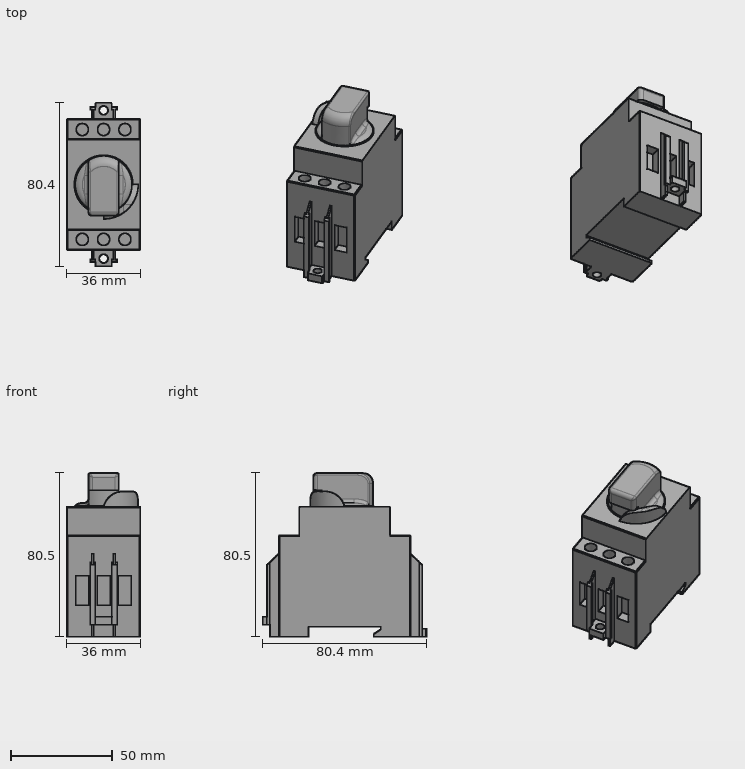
import cadquery as cq
import math

TOTAL_HEIGHT = 80.5
TOTAL_LENGTH = 80.4

WIDTH = 36.0
LENGTH = 64.7
SHOULDER_HEIGHT = 50.0
DECK_LENGTH = 44.75
DECK_HEIGHT = 64.0
EDGE_CHAMFER = 0.5

SLOT_HEIGHT = 5.0
SLOT_HALF_WIDTH = 17.6
HOOK_REACH = 3.4
HOOK_LIP_HEIGHT = 1.45
HOOK_TOP = 3.7

POLE_PITCH = 10.5
SCREW_HOLE_DIAMETER = 5.95
SCREW_HOLE_Y = 27.0
SCREW_HOLE_DEPTH = 8.05
WIRE_POCKET_WIDTH = 6.35
WIRE_POCKET_HEIGHT = 14.5
WIRE_POCKET_BOTTOM = 15.5
WIRE_POCKET_DEPTH = 5.0

RAIL_X = 5.3
RAIL_WEB_THICKNESS = 1.0
RAIL_FLANGE_WIDTH = 2.6
RAIL_FLANGE_THICKNESS = 1.45
RAIL_REACH = 38.15
RAIL_ROOT_HEIGHT = 40.9
RAIL_TIP_HEIGHT = 35.3
FRONT_FITTING_BOTTOM = 5.9
BACK_FITTING_BOTTOM = 0
TAB_WIDTH = 8.05
TAB_REACH = TOTAL_LENGTH / 2
TAB_THICKNESS = 4.1
TAB_HOLE_Y = 36.4
TAB_HOLE_DIAMETER = 4.2

KNOB_RADIUS = 14.0
SKIRT_RADIUS = 13.9
SKIRT_TOP_RADIUS = 10.55
SKIRT_HEIGHT = 1.85
FOOT_HEIGHT = 0.4
FOOT_SLOPE_ANGLE = 45
GRIP_WIDTH = 15.0
GRIP_FRONT = 15.45
GRIP_OVERHANG_BOTTOM = 72.1
GRIP_BACK_ROUND = 5.0
GRIP_FRONT_ROUND = 2.0
GRIP_EDGE_ROUND = 1.0
GRIP_ROOT_ROUND = 2.0

GUARD_RADIUS = 17.0
GUARD_INNER_RADIUS = 13.9
GUARD_HEIGHT = 7.5
GUARD_RAMP_LENGTH = 9.7

TOLERANCE = 0.1

HALF_LENGTH = LENGTH / 2
POLE_POSITIONS = [-POLE_PITCH, 0, POLE_PITCH]


def box(x_range, y_range, z_range):
    """Axis-aligned box spanning the three (low, high) ranges."""
    low = [min(span) for span in (x_range, y_range, z_range)]
    size = [max(span) - min(span) for span in (x_range, y_range, z_range)]
    return cq.Workplane("XY").box(*size, centered=False).translate(tuple(low))


def centred_box(width, length, bottom, top):
    return box((-width / 2, width / 2), (-length / 2, length / 2), (bottom, top))


def make_housing():
    base = centred_box(WIDTH, LENGTH, 0, SHOULDER_HEIGHT)
    base = base.edges("|Z or >Z").chamfer(EDGE_CHAMFER)
    deck = centred_box(WIDTH, DECK_LENGTH, 0, DECK_HEIGHT)
    deck = deck.edges(">Z and |X").chamfer(EDGE_CHAMFER)
    return base.union(deck)


def make_rail_slot():
    """Slot for a mounting rail, with an undercut hook on its +Y side."""
    hook_tip = SLOT_HALF_WIDTH - HOOK_REACH
    return (
        cq.Workplane("YZ")
        .moveTo(-SLOT_HALF_WIDTH, 0)
        .lineTo(hook_tip, 0)
        .lineTo(hook_tip, HOOK_LIP_HEIGHT)
        .lineTo(SLOT_HALF_WIDTH, HOOK_TOP)
        .lineTo(SLOT_HALF_WIDTH, SLOT_HEIGHT)
        .lineTo(-SLOT_HALF_WIDTH, SLOT_HEIGHT)
        .close()
        .extrude(WIDTH / 2, both=True)
    )


def make_terminal_cuts(side):
    """Screw holes and wire pockets of one end; side is +1 or -1 along Y."""
    cuts = (
        cq.Workplane("XY", origin=(0, side * SCREW_HOLE_Y, SHOULDER_HEIGHT - SCREW_HOLE_DEPTH))
        .pushPoints([(x, 0) for x in POLE_POSITIONS])
        .circle(SCREW_HOLE_DIAMETER / 2)
        .extrude(SCREW_HOLE_DEPTH)
    )
    for x in POLE_POSITIONS:
        cuts = cuts.union(
            box(
                (x - WIRE_POCKET_WIDTH / 2, x + WIRE_POCKET_WIDTH / 2),
                (side * HALF_LENGTH, side * (HALF_LENGTH - WIRE_POCKET_DEPTH)),
                (WIRE_POCKET_BOTTOM, WIRE_POCKET_BOTTOM + WIRE_POCKET_HEIGHT),
            )
        )
    return cuts


def make_rail(x, side, flange_bottom):
    """T-section rail with a sloping top, rooted in the housing's end face."""
    flange_inner = RAIL_REACH - RAIL_FLANGE_THICKNESS
    root = HALF_LENGTH - EDGE_CHAMFER
    web = box(
        (x - RAIL_WEB_THICKNESS / 2, x + RAIL_WEB_THICKNESS / 2),
        (side * root, side * flange_inner),
        (0, RAIL_ROOT_HEIGHT),
    )
    flange = box(
        (x - RAIL_FLANGE_WIDTH / 2, x + RAIL_FLANGE_WIDTH / 2),
        (side * flange_inner, side * RAIL_REACH),
        (flange_bottom, RAIL_ROOT_HEIGHT),
    )
    slope_cut = (
        cq.Workplane("YZ", origin=(x, 0, 0))
        .moveTo(side * HALF_LENGTH, RAIL_ROOT_HEIGHT)
        .lineTo(side * RAIL_REACH, RAIL_TIP_HEIGHT)
        .lineTo(side * RAIL_REACH, RAIL_ROOT_HEIGHT)
        .close()
        .extrude(RAIL_FLANGE_WIDTH, both=True)
    )
    return web.union(flange).cut(slope_cut)


def make_tab(side, bottom):
    tab = box(
        (-TAB_WIDTH / 2, TAB_WIDTH / 2),
        (side * (HALF_LENGTH - EDGE_CHAMFER), side * TAB_REACH),
        (bottom, bottom + TAB_THICKNESS),
    )
    tab_root = box(
        (-RAIL_X, RAIL_X),
        (side * (HALF_LENGTH - EDGE_CHAMFER), side * (RAIL_REACH - RAIL_FLANGE_THICKNESS)),
        (bottom, bottom + TAB_THICKNESS),
    )
    hole = (
        cq.Workplane("XY", origin=(0, side * TAB_HOLE_Y, bottom))
        .circle(TAB_HOLE_DIAMETER / 2)
        .extrude(TAB_THICKNESS)
    )
    if side > 0:
        tab = tab.edges(">Y and |Z").chamfer(EDGE_CHAMFER)
    return tab.union(tab_root).cut(hole)


def make_end_fittings(side, bottom):
    fittings = make_tab(side, bottom)
    for x in (-RAIL_X, RAIL_X):
        fittings = fittings.union(make_rail(x, side, bottom))
    return fittings


def make_knob_blank():
    """Cylinder with a large rounded top edge, filling the knob's full height."""
    return (
        cq.Workplane("XY", origin=(0, 0, DECK_HEIGHT))
        .circle(KNOB_RADIUS)
        .extrude(TOTAL_HEIGHT - DECK_HEIGHT)
        .faces(">Z")
        .edges()
        .fillet(GRIP_BACK_ROUND)
    )


def make_grip():
    """Handle: round at the back, with an overhanging square nose at the front."""
    half = GRIP_WIDTH / 2
    back = make_knob_blank().intersect(
        box((-half, half), (0, KNOB_RADIUS), (DECK_HEIGHT, TOTAL_HEIGHT))
    )
    stem = (
        cq.Workplane("XY", origin=(0, 0, DECK_HEIGHT))
        .circle(KNOB_RADIUS)
        .extrude(GRIP_OVERHANG_BOTTOM - DECK_HEIGHT)
        .intersect(box((-half, half), (-KNOB_RADIUS, 0), (DECK_HEIGHT, TOTAL_HEIGHT)))
    )
    nose = box((-half, half), (-GRIP_FRONT, 0), (GRIP_OVERHANG_BOTTOM, TOTAL_HEIGHT))
    nose = nose.faces("<Y").edges("not <Z").fillet(GRIP_FRONT_ROUND)
    grip = back.union(stem).union(nose)
    corner_y = -math.sqrt(KNOB_RADIUS**2 - half**2)
    rims = cq.selectors.BoxSelector(
        (-GRIP_WIDTH, corner_y - TOLERANCE, DECK_HEIGHT + TOLERANCE),
        (GRIP_WIDTH, KNOB_RADIUS, TOTAL_HEIGHT + TOLERANCE),
    )
    return grip.faces("<X or >X").edges(rims).fillet(GRIP_EDGE_ROUND)


def make_skirt():
    """Low domed disc round the handle."""
    run = SKIRT_RADIUS - SKIRT_TOP_RADIUS
    drop = SKIRT_HEIGHT - FOOT_HEIGHT
    dome_radius = (run**2 + drop**2) / (2 * drop)
    half_angle = math.asin(run / dome_radius) / 2
    dome_middle = (
        SKIRT_TOP_RADIUS + dome_radius * math.sin(half_angle),
        SKIRT_HEIGHT - dome_radius * (1 - math.cos(half_angle)),
    )
    return (
        cq.Workplane("XZ", origin=(0, 0, DECK_HEIGHT))
        .lineTo(SKIRT_RADIUS, 0)
        .lineTo(SKIRT_RADIUS, FOOT_HEIGHT)
        .threePointArc(dome_middle, (SKIRT_TOP_RADIUS, SKIRT_HEIGHT))
        .lineTo(0, SKIRT_HEIGHT)
        .close()
        .revolve(360, (0, 0, 0), (0, 1, 0))
    )


def skirt_root(x):
    """Selector for the edges along which the skirt meets the handle's flat side at x."""
    return cq.selectors.BoxSelector(
        (x - TOLERANCE, -KNOB_RADIUS, DECK_HEIGHT + TOLERANCE),
        (x + TOLERANCE, KNOB_RADIUS, DECK_HEIGHT + SKIRT_HEIGHT + TOLERANCE),
    )


def make_knob():
    """Handle blended into its skirt along both flat sides, on a thin sloping foot."""
    roots = skirt_root(-GRIP_WIDTH / 2) + skirt_root(GRIP_WIDTH / 2)
    knob = make_grip().union(make_skirt()).edges(roots).fillet(GRIP_ROOT_ROUND)
    foot = (
        cq.Workplane("XY", origin=(0, 0, DECK_HEIGHT))
        .circle(KNOB_RADIUS + FOOT_HEIGHT)
        .extrude(FOOT_HEIGHT, taper=FOOT_SLOPE_ANGLE)
    )
    return knob.union(foot)


def make_guard_ramp(plane, direction):
    """Prism rising in a convex arc away from the knob's axis, then level."""
    ramp_radius = (GUARD_RAMP_LENGTH**2 + GUARD_HEIGHT**2) / (2 * GUARD_HEIGHT)
    half_angle = math.asin(GUARD_RAMP_LENGTH / ramp_radius) / 2
    ramp_middle = (
        direction * (GUARD_RAMP_LENGTH - ramp_radius * math.sin(half_angle)),
        GUARD_HEIGHT - ramp_radius * (1 - math.cos(half_angle)),
    )
    return (
        cq.Workplane(plane, origin=(0, 0, DECK_HEIGHT))
        .threePointArc(ramp_middle, (direction * GUARD_RAMP_LENGTH, GUARD_HEIGHT))
        .lineTo(direction * GUARD_RADIUS, GUARD_HEIGHT)
        .lineTo(direction * GUARD_RADIUS, 0)
        .close()
        .extrude(GUARD_RADIUS, both=True)
    )


def make_guard():
    """Quarter-round guard in the +X, -Y quadrant, ramped at both ends."""
    ring = (
        cq.Workplane("XY", origin=(0, 0, DECK_HEIGHT))
        .circle(GUARD_RADIUS)
        .circle(GUARD_INNER_RADIUS)
        .extrude(GUARD_HEIGHT)
    )
    return ring.intersect(make_guard_ramp("XZ", 1)).intersect(make_guard_ramp("YZ", -1))


result = make_housing().cut(make_rail_slot())
for end in (-1, 1):
    result = result.cut(make_terminal_cuts(end))
result = result.union(make_end_fittings(-1, FRONT_FITTING_BOTTOM))
result = result.union(make_end_fittings(1, BACK_FITTING_BOTTOM))
result = result.union(make_knob()).union(make_guard())